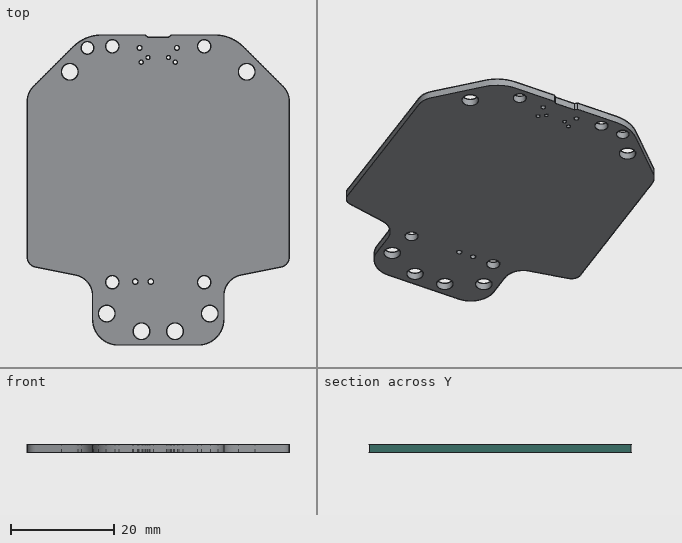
import cadquery as cq

width = 50.8
length = 60.1
thickness = 1.6
half_width = width / 2
half_length = length / 2

top_half_width = 14.2
tail_half_width = 12.75
shoulder_y = -14.6
shoulder_slope = 0.2
chamfer_y = half_length - (half_width - top_half_width)
neck_y = shoulder_y - shoulder_slope * (half_width - tail_half_width)

top_radius = 7.8
side_radius = 4.0
shoulder_radius = 2.0
neck_radius = 4.0
tail_radius = 5.05

notch_half_width = 2.5
notch_floor_half_width = 2.05
notch_depth = 0.4

large_hole = 3.2
medium_hole = 2.5
single_hole = 2.4
large_centers = [
    (-17.1, 22.9), (17.1, 22.9),
    (-10.0, -23.9), (10.0, -23.9),
    (-3.25, -27.35), (3.25, -27.35),
]
medium_x = 8.9
medium_centers = [(x, y) for x in (-medium_x, medium_x) for y in (-17.85, 27.8)]
single_centers = [(-13.7, 27.5)]
pin_holes = [
    (0.9, [(-3.6, 27.5), (3.6, 27.5)]),
    (0.7, [(-2.0, 25.65), (2.0, 25.65)]),
    (0.8, [(-3.3, 24.75), (3.3, 24.75)]),
    (1.0, [(-4.45, -17.7), (-1.45, -17.7)]),
]


def make_plate():
    """Extrude the angular outline, then round its mirrored corner pairs."""
    right_side = [
        (top_half_width, half_length),
        (half_width, chamfer_y),
        (half_width, shoulder_y),
        (tail_half_width, neck_y),
        (tail_half_width, -half_length),
    ]
    radii = [top_radius, side_radius, shoulder_radius, neck_radius, tail_radius]
    left_side = [(-x, y) for x, y in reversed(right_side)]
    plate = cq.Workplane("XY").polyline(right_side + left_side).close().extrude(thickness)
    for (x, y), radius in zip(right_side, radii):
        for corner_x in (-x, x):
            edge = cq.selectors.NearestToPointSelector((corner_x, y, thickness / 2))
            plate = plate.edges("|Z").edges(edge).fillet(radius)
    return plate


def make_notch():
    """Tapered cutter for the notch in the top edge."""
    floor_y = half_length - notch_depth
    return (
        cq.Workplane("XY")
        .polyline([
            (-notch_half_width, half_length),
            (-notch_floor_half_width, floor_y),
            (notch_floor_half_width, floor_y),
            (notch_half_width, half_length),
        ])
        .close()
        .extrude(thickness)
    )


def make_holes(diameter, centers):
    """Cylinders the full thickness of the plate, one per hole."""
    return cq.Workplane("XY").pushPoints(centers).circle(diameter / 2).extrude(thickness)


hole_groups = [
    (large_hole, large_centers),
    (medium_hole, medium_centers),
    (single_hole, single_centers),
] + pin_holes

result = make_plate().cut(make_notch())
for hole_diameter, hole_centers in hole_groups:
    result = result.cut(make_holes(hole_diameter, hole_centers))